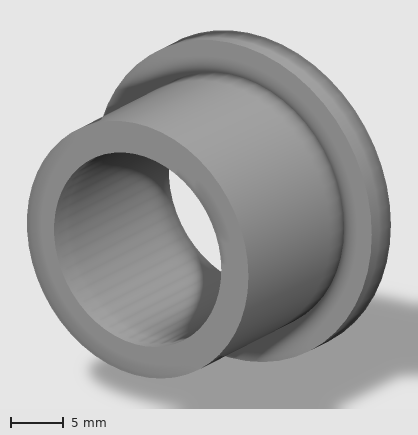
import cadquery as cq

flange_diameter = 31.75
flange_thickness = 3.18
sleeve_diameter = 25.4
bore_diameter = 19.18
total_length = 19.05


def cylinder_along_y(diameter, length):
    """Solid cylinder running from Y = 0 towards -Y."""
    return cq.Workplane("XZ").circle(diameter / 2).extrude(length)


flange = cylinder_along_y(flange_diameter, flange_thickness)
sleeve = cylinder_along_y(sleeve_diameter, total_length)
bore = cylinder_along_y(bore_diameter, total_length)

result = flange.union(sleeve).cut(bore)